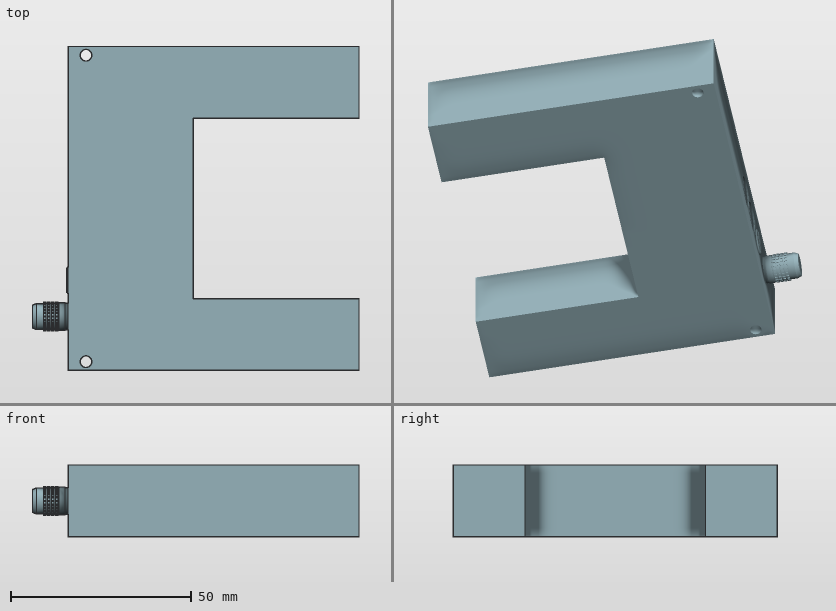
import cadquery as cq

total_length = 90.7
connector_length = 9.9
body_length = total_length - connector_length
body_width = 90.0
thickness = 20.0
leg_width = 20.0
throat_depth = 46.0
throat_width = body_width - 2 * leg_width

hole_diameter = 3.2
hole_from_front = 5.0
hole_from_side = 2.45

side_y = -body_width / 2
connector_y = side_y + 15.0
raised_screw_y = side_y + 25.0
recessed_screws_y = [side_y + 34.0, side_y + 43.0]

recess_diameter = 8.8
recess_depth = 0.4
recess_slot_lengths = [6.9, 8.2]
raised_screw_diameter = 7.3
raised_screw_height = 0.4
raised_screw_chamfer = 0.3
raised_slot_length = 6.2
slot_width = 1.0
slot_depth = 0.5
slot_angle = 45

tip_radius = 3.2
barrel_radius = 3.6
rib_radius = 4.0
groove_radius = 3.7
collar_radius = 3.9
neck_radius = 3.7
neck_length = 0.8
collar_end = 2.45
tip_taper_length = 1.1
rib_count = 4
rib_width = 0.7
rib_pitch = 1.1
flute_count = 24
flute_width = 0.4
flute_length = rib_count * rib_pitch

embed = 0.45


def front_cylinder(y, diameter, start_x, length):
    """Cylinder along +X at the given Y."""
    return cq.Workplane("YZ", origin=(start_x, y, 0)).circle(diameter / 2).extrude(length)


def screw_slot(y, length, face_x):
    """Cutter for a slanted screwdriver slot sunk from the plane X = face_x."""
    return (
        cq.Workplane("YZ", origin=(face_x, y, 0))
        .transformed(rotate=(0, 0, slot_angle))
        .rect(length, slot_width)
        .extrude(slot_depth)
    )


def make_housing():
    housing = cq.Workplane("XY").box(body_length, body_width, thickness, centered=(False, True, True))
    throat = (
        cq.Workplane("XY")
        .box(throat_depth, throat_width, thickness, centered=(False, True, True))
        .translate((body_length - throat_depth, 0, 0))
    )
    hole_y = body_width / 2 - hole_from_side
    holes = (
        cq.Workplane("XY", origin=(0, 0, -thickness / 2))
        .pushPoints([(hole_from_front, -hole_y), (hole_from_front, hole_y)])
        .circle(hole_diameter / 2)
        .extrude(thickness)
    )
    return housing.cut(throat).cut(holes)


def add_screws(body):
    for y, slot_length in zip(recessed_screws_y, recess_slot_lengths):
        body = body.cut(front_cylinder(y, recess_diameter, 0, recess_depth))
        body = body.cut(screw_slot(y, slot_length, recess_depth))
    head = front_cylinder(
        raised_screw_y, raised_screw_diameter, -raised_screw_height, raised_screw_height + embed
    )
    head = head.faces("<X").chamfer(raised_screw_chamfer)
    return body.union(head).cut(screw_slot(raised_screw_y, raised_slot_length, -raised_screw_height))


def make_connector():
    """Stepped round plug with a ribbed, fluted grip."""
    profile = [(embed, 0), (embed, neck_radius), (-neck_length, neck_radius)]
    profile += [(-neck_length, collar_radius), (-collar_end, collar_radius)]
    for rib in range(rib_count):
        groove_start = -collar_end - rib * rib_pitch
        rib_end = groove_start - rib_pitch
        rib_start = rib_end + rib_width
        profile += [(groove_start, groove_radius), (rib_start, groove_radius)]
        profile += [(rib_start, rib_radius), (rib_end, rib_radius)]
    profile += [
        (-collar_end - flute_length, barrel_radius),
        (-connector_length + tip_taper_length, barrel_radius),
        (-connector_length, tip_radius),
        (-connector_length, 0),
    ]
    plug = cq.Workplane("XY").polyline(profile).close().revolve(360, (0, 0, 0), (1, 0, 0))
    flutes = (
        cq.Workplane("YZ", origin=(-collar_end - flute_length, 0, 0))
        .polarArray(rib_radius, 0, 360, flute_count)
        .rect(2 * (rib_radius - groove_radius), flute_width)
        .extrude(flute_length)
    )
    return plug.cut(flutes).translate((0, connector_y, 0))


part = add_screws(make_housing()).union(make_connector())
result = part.translate((connector_length - total_length / 2, 0, 0))